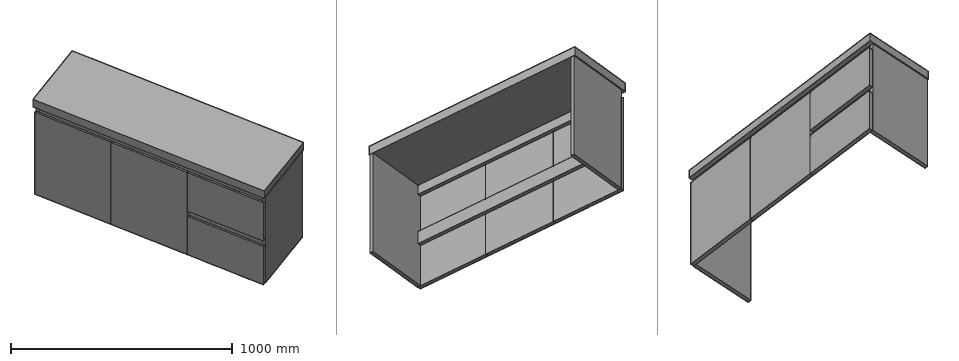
import cadquery as cq

WIDTH = 1200.0
DEPTH = 360.0
HEIGHT = 600.0

TOP_THICKNESS = 48.0
SIDE_OVERHANG = 5.0
FRONT_OVERHANG = 4.0
BOARD = 18.0
FRONT_INSET = 2.0
FRONT_GAP = 2.0
FINGER_GAP = 32.0
BEVEL_DROP = 10.0
RAIL_LAP = 18.0
COLUMNS = 3

BACK_Y = DEPTH / 2
BOTTOM_Z = -HEIGHT / 2
CARCASS_TOP_Z = HEIGHT / 2 - TOP_THICKNESS
FACE_Y = -DEPTH / 2 + FRONT_OVERHANG
CARCASS_FRONT_Y = FACE_Y + BOARD
CARCASS_WIDTH = WIDTH - 2 * SIDE_OVERHANG
CLEAR_WIDTH = CARCASS_WIDTH - 2 * BOARD
FRONTS_WIDTH = CARCASS_WIDTH - 2 * FRONT_INSET
FRONT_WIDTH = (FRONTS_WIDTH - (COLUMNS - 1) * FRONT_GAP) / COLUMNS
DOOR_HEIGHT = CARCASS_TOP_Z - FINGER_GAP - BOTTOM_Z
DRAWER_HEIGHT = (DOOR_HEIGHT - FINGER_GAP) / 2
UPPER_DRAWER_Z = BOTTOM_Z + DRAWER_HEIGHT + FINGER_GAP


def block(x_min, x_max, y_min, y_max, z_min, z_max):
    """Rectangular board between the given limits."""
    size = (x_max - x_min, y_max - y_min, z_max - z_min)
    return cq.Workplane("XY").box(*size, centered=False).translate((x_min, y_min, z_min))


def make_countertop():
    return block(-WIDTH / 2, WIDTH / 2, -DEPTH / 2, BACK_Y, CARCASS_TOP_Z, HEIGHT / 2)


def make_side_panel(x_min):
    return block(x_min, x_min + BOARD, CARCASS_FRONT_Y, BACK_Y, BOTTOM_Z, CARCASS_TOP_Z)


def make_rail(z_min, z_max):
    """Board closing a finger gap, flush with the front edges of the side panels."""
    rail_back_y = CARCASS_FRONT_Y + BOARD
    return block(-CLEAR_WIDTH / 2, CLEAR_WIDTH / 2, CARCASS_FRONT_Y, rail_back_y, z_min, z_max)


def make_front(column, z_min, height):
    """Door or drawer front whose top edge slopes down towards the cabinet."""
    x_min = -FRONTS_WIDTH / 2 + column * (FRONT_WIDTH + FRONT_GAP)
    z_max = z_min + height
    profile = [
        (FACE_Y, z_min),
        (CARCASS_FRONT_Y, z_min),
        (CARCASS_FRONT_Y, z_max - BEVEL_DROP),
        (FACE_Y, z_max),
    ]
    return cq.Workplane("YZ", origin=(x_min, 0, 0)).polyline(profile).close().extrude(FRONT_WIDTH)


countertop = make_countertop()

side_panels = [make_side_panel(x) for x in (-CARCASS_WIDTH / 2, CARCASS_WIDTH / 2 - BOARD)]

top_rail = make_rail(CARCASS_TOP_Z - FINGER_GAP - RAIL_LAP, CARCASS_TOP_Z)
middle_rail = make_rail(UPPER_DRAWER_Z - FINGER_GAP - RAIL_LAP, UPPER_DRAWER_Z + RAIL_LAP)

doors = [make_front(column, BOTTOM_Z, DOOR_HEIGHT) for column in range(COLUMNS - 1)]
drawer_fronts = [make_front(COLUMNS - 1, z, DRAWER_HEIGHT) for z in (BOTTOM_Z, UPPER_DRAWER_Z)]

bodies = [countertop, *side_panels, top_rail, middle_rail, *doors, *drawer_fronts]
result = cq.Compound.makeCompound([body.val() for body in bodies])